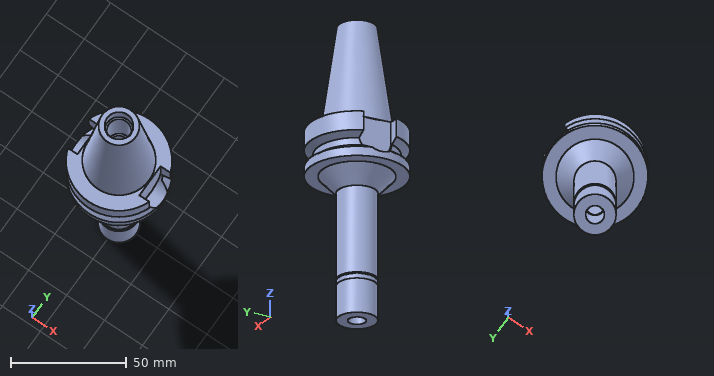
import cadquery as cq

overall_height = 138.4
nut_height = 16.2
ring_top = 18.5
shank_start = 19.1
shoulder_start = 60.0
flange_bottom = 68.1
lower_rim_top = 72.4
groove_bottom = 74.9
groove_top = 78.2
upper_rim_bottom = 80.3
flange_top = 89.1
taper_start = 89.8

shank_radius = 9.1
spigot_radius = 8.5
shoulder_radius = 16.9
flange_radius = 23.0
groove_radius = 19.1
taper_large_radius = 15.9
taper_small_radius = 8.9

mouth_radius = 6.2
mouth_depth = 7.0
thread_radius = 5.3
thread_depth = 27.7
through_radius = 4.3
nut_bore_radius = 4.0

slot_width = 16.0
slot_floor_x = 16.3
slot_bottom = 71.1


def cylinder(radius, bottom, top):
    return cq.Workplane("XY").workplane(offset=bottom).circle(radius).extrude(top - bottom)


def make_holder_blank():
    """Spigot, shank, V-grooved flange and taper turned in one profile."""
    profile = [
        (0, nut_height),
        (spigot_radius, nut_height),
        (spigot_radius, shank_start),
        (shank_radius, shank_start),
        (shank_radius, shoulder_start),
        (shoulder_radius, flange_bottom),
        (flange_radius, flange_bottom),
        (flange_radius, lower_rim_top),
        (groove_radius, groove_bottom),
        (groove_radius, groove_top),
        (flange_radius, upper_rim_bottom),
        (flange_radius, flange_top),
        (taper_large_radius, flange_top),
        (taper_large_radius, taper_start),
        (taper_small_radius, overall_height),
        (0, overall_height),
    ]
    return cq.Workplane("XZ").polyline(profile).close().revolve(360, (0, 0), (0, 1))


def make_drive_slot(side):
    """Round-bottomed slot cutter, outside the flat floor on the -X or +X side."""
    half_width = slot_width / 2
    arc_center = slot_bottom + half_width
    return (
        cq.Workplane("YZ", origin=(side * slot_floor_x, 0, 0))
        .moveTo(-half_width, flange_top)
        .lineTo(-half_width, arc_center)
        .threePointArc((0, slot_bottom), (half_width, arc_center))
        .lineTo(half_width, flange_top)
        .close()
        .extrude(side * flange_radius)
    )


def make_holder():
    holder = make_holder_blank()
    for side in (-1, 1):
        holder = holder.cut(make_drive_slot(side))
    holder = holder.cut(cylinder(through_radius, nut_height, overall_height))
    holder = holder.cut(cylinder(thread_radius, overall_height - thread_depth, overall_height))
    return holder.cut(cylinder(mouth_radius, overall_height - mouth_depth, overall_height))


def make_ring():
    """Collar around the spigot, leaving a narrow gap below the shank."""
    ring = cylinder(shank_radius, nut_height, ring_top)
    return ring.cut(cylinder(spigot_radius, nut_height, ring_top))


def make_nut():
    nut = cylinder(shank_radius, 0, nut_height)
    return nut.cut(cylinder(nut_bore_radius, 0, nut_height))


holder = make_holder()
ring = make_ring()
nut = make_nut()

result = cq.Compound.makeCompound([holder.val(), ring.val(), nut.val()])